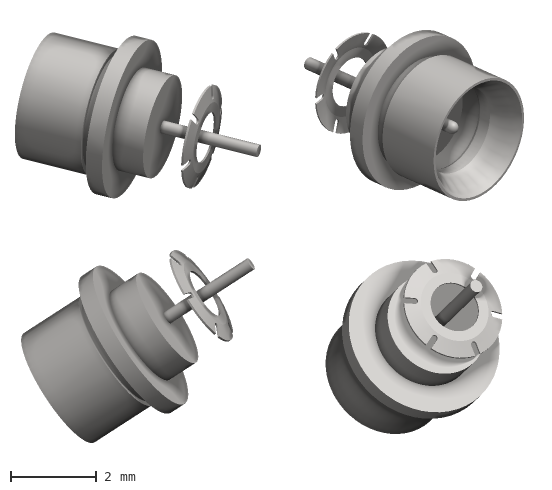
import cadquery as cq

overall_length = 5.51

shell_diameter = 3.035
shell_end = 1.655
neck_diameter = 2.78
flange_diameter = 3.81
flange_start = 1.93
flange_end = 2.335
rear_diameter = 2.48
rear_end = 3.1

mouth_diameter = 2.905
throat_diameter = 2.13
throat_start = 0.665
cavity_floor = 1.585
undercut_diameter = 2.21
undercut_start = 0.98
undercut_taper_end = 1.06
recess_diameter = 1.235
recess_depth = 0.055

pin_diameter = 0.305
pin_tip = 0.715

washer_diameter = 2.48
washer_bore_diameter = 1.22
washer_flat_diameter = 1.71
washer_start = 4.055
washer_end = 4.195
washer_thickness = 0.05
slot_count = 6
slot_width = 0.15
slot_inner_radius = 0.92


def cylinder(diameter, start, end):
    """Cylinder along X between two axial positions."""
    return cq.Workplane("YZ", origin=(start, 0, 0)).circle(diameter / 2).extrude(end - start)


def revolve_about_x(profile):
    """Revolve a closed profile, drawn as (axial position, radius), about X."""
    return profile.revolve(360, (0, 0, 0), (1, 0, 0))


def make_outer_form():
    """Stepped outside of the housing: shell, neck, flange and rear barrel."""
    shell = cylinder(shell_diameter, 0, shell_end)
    neck = cylinder(neck_diameter, shell_end, flange_start)
    flange = cylinder(flange_diameter, flange_start, flange_end)
    rear = cylinder(rear_diameter, flange_end, rear_end)
    return shell.union(neck).union(flange).union(rear)


def make_cavity():
    """Tapered mouth, narrow throat, wider undercut and a shallow recess in the floor."""
    main = revolve_about_x(
        cq.Workplane("XY")
        .lineTo(0, mouth_diameter / 2)
        .lineTo(throat_start, throat_diameter / 2)
        .lineTo(undercut_start, throat_diameter / 2)
        .lineTo(undercut_taper_end, undercut_diameter / 2)
        .lineTo(cavity_floor, undercut_diameter / 2)
        .lineTo(cavity_floor, 0)
        .close()
    )
    recess = cylinder(recess_diameter, cavity_floor, cavity_floor + recess_depth)
    return main.union(recess)


def make_pin():
    """Centre contact with a hemispherical front tip."""
    pin = cylinder(pin_diameter, pin_tip + pin_diameter / 2, overall_length)
    tip = cq.Workplane("XY").sphere(pin_diameter / 2).translate((pin_tip + pin_diameter / 2, 0, 0))
    return pin.union(tip)


def make_connector():
    """Housing and centre contact as one solid."""
    return make_outer_form().cut(make_cavity()).union(make_pin())


def make_washer():
    """Dished ring with round-ended slots open to its rim."""
    outer_radius = washer_diameter / 2
    bore_radius = washer_bore_diameter / 2
    flat_radius = washer_flat_diameter / 2
    washer = revolve_about_x(
        cq.Workplane("XY")
        .moveTo(washer_end, bore_radius)
        .lineTo(washer_end, flat_radius)
        .lineTo(washer_start + washer_thickness, outer_radius)
        .lineTo(washer_start, outer_radius)
        .lineTo(washer_end - washer_thickness, flat_radius)
        .lineTo(washer_end - washer_thickness, bore_radius)
        .close()
    )
    slot_length = outer_radius
    slot = (
        cq.Workplane("YZ", origin=(washer_start, 0, 0))
        .center(slot_inner_radius + slot_length / 2, 0)
        .slot2D(slot_length, slot_width)
        .extrude(washer_end - washer_start)
    )
    for index in range(slot_count):
        washer = washer.cut(slot.rotate((0, 0, 0), (1, 0, 0), index * 360 / slot_count))
    return washer


connector = make_connector()
washer = make_washer()
result = cq.Compound.makeCompound([connector.val(), washer.val()])